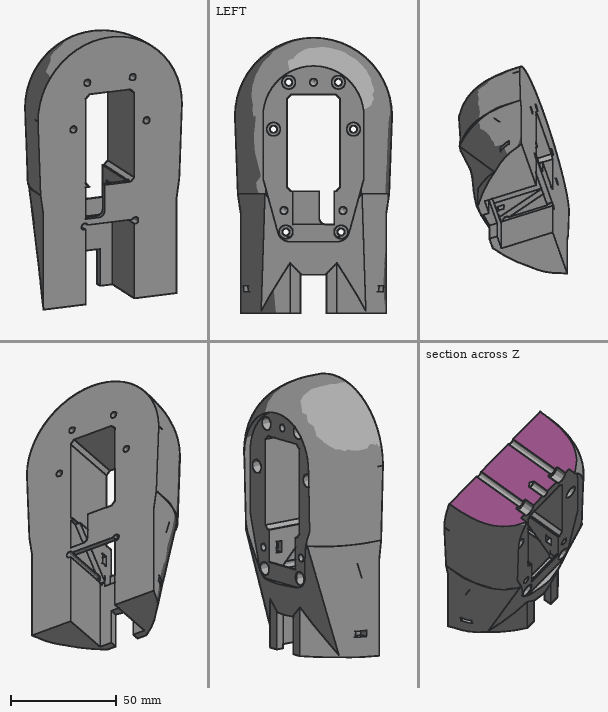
import cadquery as cq

depth = 34.9
height = 131.2
dome_radius = 74.9 / 2
dome_z = height - dome_radius
overrun = 1.3

face_half_width = 24.0
shoulder_points = [(11.8, 34.1), (23.6, 37.0)]
waist_z = 56.9
waist_half_width = 36.1
hem_half_width = 34.1
waist_shape = dict(flank=(11.8, 32.1), cheek=(0, 23.1), brow=(-3.1, 11.5), nose_x=-4.3)
hem_shape = dict(flank=(25.6, 30.7), cheek=(18.4, 24.9), brow=(11.8, 12.5), nose_x=8.4)

leg_front_x = 5.2
leg_flat_half_width = 11.2
leg_half_width = 34.6
leg_top_z = 47.2
leg_side_point = (18.4, 25.2)

recess_depth = 3.5
recess_bend_z = 64.1
recess_bottom_z = 34.0
recess_bottom_half_width = 15.7
recess_corner_radius = 6.5

window_half_width = 12.6
window_bottom_z = 58.1
window_top_z = 104.0
window_chamfer = 2.0
lower_window_half_width = 9.8
lower_window_bottom_z = 42.4
sill_thickness = 0.8
channel_front_x = 9.2
channel_shoulder_x = 30.8
leg_slot_half_width = 6.2
leg_slot_top_z = 18.4

back_plate_thickness = 2.6
back_plate_bottom_z = 39.4
back_plate_edge_y = -2.8
back_plate_corner_radius = 3.1

top_row_z = 109.9
screw_places = [(11.8, top_row_z), (19.0, 87.6), (13.1, 38.7)]
screw_diameter = 3.3
counterbore_diameter = 6.4
counterbore_depth = 5.2
pilot_diameter = 3.5
pilot_depth = 8.5
pilot_tip_length = 1.0
pilot_half_spacing = 14.0
pilot_z = 48.9

nut_slot_front_x = 8.1
nut_slot_thickness = 3.1
nut_slot_height = 5.5
nut_slot_outer_y = 16.8

tie_slot_front_x = 23.1
tie_slot_length = 5.1
tie_slot_bottom_z = 10.2
tie_slot_height = 3.0
tie_slot_inner_y = 28.9


def box(x_range, y_range, z_range):
    """Axis-aligned block between the given limits."""
    size = [high - low for low, high in (x_range, y_range, z_range)]
    corner = (x_range[0], y_range[0], z_range[0])
    return cq.Workplane("XY").box(*size, centered=False).translate(corner)


def cylinder_x(x_start, y, z, diameter, length):
    """Round bar running towards +X."""
    return cq.Workplane("YZ", origin=(x_start, y, z)).circle(diameter / 2).extrude(length)


def upper_section(z, side_y):
    """Flat-fronted section of the body, narrowed so that its back edges lie at side_y."""
    inset = dome_radius - side_y
    face_y = face_half_width - inset
    left = [(x, radius - inset) for x, radius in shoulder_points] + [(depth, side_y)]
    right = [(x, -y) for x, y in reversed(left[:-1])] + [(0, -face_y)]
    return (
        cq.Workplane("XY", origin=(0, 0, z))
        .moveTo(depth, -side_y)
        .spline(right, includeCurrent=True)
        .lineTo(0, face_y)
        .spline(left, includeCurrent=True)
        .close()
        .wires()
        .val()
    )


def nosed_section(z, side_y, flank, cheek, brow, nose_x):
    """Section with rounded flanks and brows, creased at the cheeks and at the nose."""
    return (
        cq.Workplane("XY", origin=(0, 0, z))
        .moveTo(depth, -side_y)
        .threePointArc((flank[0], -flank[1]), (cheek[0], -cheek[1]))
        .threePointArc((brow[0], -brow[1]), (nose_x, 0))
        .threePointArc(brow, cheek)
        .threePointArc(flank, (depth, side_y))
        .close()
        .wires()
        .val()
    )


def make_dome():
    full_dome = (
        cq.Workplane("XZ")
        .moveTo(0, 0)
        .lineTo(0, face_half_width)
        .spline(shoulder_points + [(depth, dome_radius)], includeCurrent=True)
        .lineTo(depth, 0)
        .close()
        .revolve(360, (0, 0, 0), (1, 0, 0))
        .translate((0, 0, dome_z))
    )
    upper_half = box((0, depth), (-dome_radius, dome_radius), (dome_z, height))
    return full_dome.intersect(upper_half)


def make_middle():
    sections = [upper_section(waist_z, waist_half_width), upper_section(dome_z, dome_radius)]
    return cq.Workplane(obj=cq.Solid.makeLoft(sections, True))


def make_lower_skin():
    waist = nosed_section(waist_z, waist_half_width, **waist_shape)
    hem = nosed_section(0, hem_half_width, **hem_shape)
    skin = cq.Workplane(obj=cq.Solid.makeLoft([hem, waist], True))
    outline = [
        (-leg_half_width, 0),
        (-leg_half_width, leg_top_z),
        (-waist_half_width, waist_z),
        (waist_half_width, waist_z),
        (leg_half_width, leg_top_z),
        (leg_half_width, 0),
    ]
    trim = cq.Workplane("YZ").polyline(outline).close().extrude(depth)
    return skin.intersect(trim)


def make_leg():
    side_x, side_y = leg_side_point
    return (
        cq.Workplane("XY")
        .moveTo(depth, -leg_half_width)
        .threePointArc((side_x, -side_y), (leg_front_x, -leg_flat_half_width))
        .lineTo(leg_front_x, leg_flat_half_width)
        .threePointArc((side_x, side_y), (depth, leg_half_width))
        .close()
        .extrude(leg_top_z)
    )


def make_recess():
    return (
        cq.Workplane("YZ", origin=(-overrun, 0, 0))
        .moveTo(face_half_width, dome_z)
        .threePointArc((0, dome_z + face_half_width), (-face_half_width, dome_z))
        .lineTo(-face_half_width, recess_bend_z)
        .lineTo(-recess_bottom_half_width, recess_bottom_z)
        .lineTo(recess_bottom_half_width, recess_bottom_z)
        .lineTo(face_half_width, recess_bend_z)
        .close()
        .extrude(recess_depth + overrun)
        .edges("|X and <Z")
        .fillet(recess_corner_radius)
    )


def make_window():
    main = box(
        (0, depth),
        (-window_half_width, window_half_width),
        (window_bottom_z, window_top_z),
    )
    main = main.edges("|X").chamfer(window_chamfer)
    lower = box(
        (0, depth),
        (-lower_window_half_width, lower_window_half_width),
        (lower_window_bottom_z, window_bottom_z),
    )
    behind_sill = box(
        (recess_depth + sill_thickness, channel_shoulder_x),
        (-lower_window_half_width, lower_window_half_width),
        (recess_bottom_z, lower_window_bottom_z),
    )
    return main.union(lower).union(behind_sill)


def make_channel():
    """Cable channel down the back of the leg, with a 45 degree roof under the window ledges."""
    roof_start_z = window_bottom_z - (channel_shoulder_x - channel_front_x)
    outline = [
        (channel_front_x, 0),
        (channel_front_x, roof_start_z),
        (channel_shoulder_x, window_bottom_z),
        (depth, window_bottom_z),
        (depth, 0),
    ]
    return cq.Workplane("XZ").polyline(outline).close().extrude(window_half_width, both=True)


def make_back_plate():
    x_range = (depth - back_plate_thickness, depth)
    y_range = (-window_half_width, window_half_width)
    plate = box(x_range, y_range, (back_plate_bottom_z, window_bottom_z))
    notch = box(
        x_range,
        (-window_half_width, back_plate_edge_y),
        (lower_window_bottom_z, window_bottom_z),
    )
    notch = notch.edges("|X and >Y and <Z").fillet(back_plate_corner_radius)
    return plate.cut(notch)


def cut_screw_holes(part):
    for half_spacing, z in screw_places:
        for y in (-half_spacing, half_spacing):
            part = part.cut(cylinder_x(0, y, z, screw_diameter, depth))
            counterbore = cylinder_x(recess_depth, y, z, counterbore_diameter, counterbore_depth)
            part = part.cut(counterbore)
    return part


def pilot_tip(y, z):
    """Drill point at the end of a pilot hole."""
    start = cq.Vector(recess_depth + pilot_depth, y, z)
    axis = cq.Vector(1, 0, 0)
    tip = cq.Solid.makeCone(pilot_diameter / 2, 0, pilot_tip_length, start, axis)
    return cq.Workplane(obj=tip)


def cut_pilot_holes(part):
    places = [(0, top_row_z), (-pilot_half_spacing, pilot_z), (pilot_half_spacing, pilot_z)]
    for y, z in places:
        part = part.cut(cylinder_x(recess_depth, y, z, pilot_diameter, pilot_depth))
        part = part.cut(pilot_tip(y, z))
    return part


def cut_mirrored(part, cutter):
    return part.cut(cutter).cut(cutter.mirror("XZ"))


body = make_dome().union(make_middle()).union(make_lower_skin()).union(make_leg())
body = body.cut(make_recess()).cut(make_window()).cut(make_channel())
body = body.union(make_back_plate())

leg_slot = box(
    (0, depth),
    (-leg_slot_half_width, leg_slot_half_width),
    (0, leg_slot_top_z),
)
nut_slot = box(
    (nut_slot_front_x, nut_slot_front_x + nut_slot_thickness),
    (lower_window_half_width, nut_slot_outer_y),
    (pilot_z - nut_slot_height / 2, pilot_z + nut_slot_height / 2),
)
tie_slot = box(
    (tie_slot_front_x, tie_slot_front_x + tie_slot_length),
    (tie_slot_inner_y, dome_radius),
    (tie_slot_bottom_z, tie_slot_bottom_z + tie_slot_height),
)

body = body.cut(leg_slot)
body = cut_mirrored(body, nut_slot)
body = cut_mirrored(body, tie_slot)
body = cut_screw_holes(body)
result = cut_pilot_holes(body)